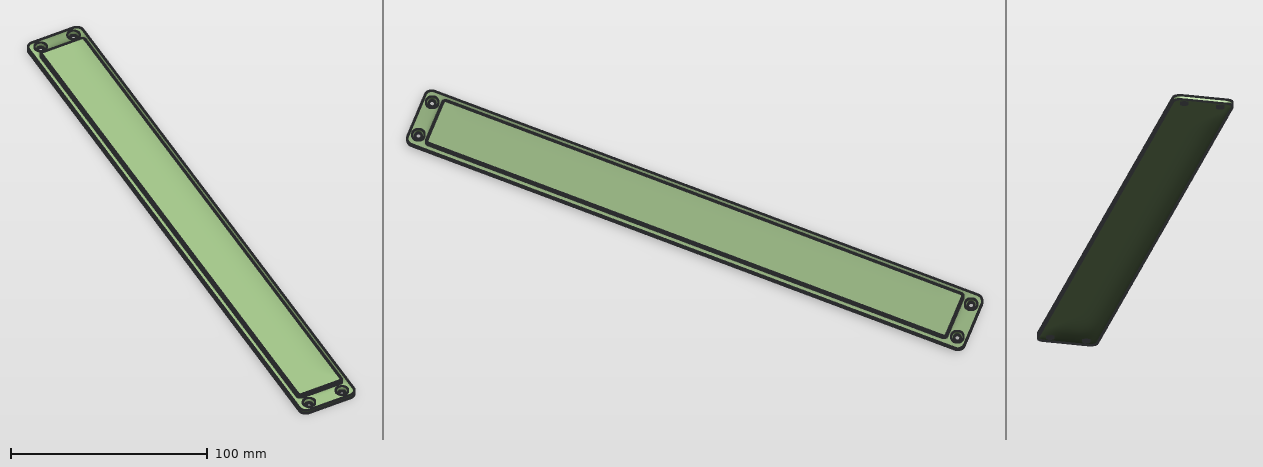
import cadquery as cq

length = 305.0
width = 31.0
total_height = 4.0
plate_thickness = 2.3
corner_radius = 3.7

panel_end_margin = 9.8
panel_side_margin = 2.7
panel_corner_radius = 1.8
panel_edge_chamfer = 0.5
panel_length = length - 2 * panel_end_margin
panel_width = width - 2 * panel_side_margin
panel_height = total_height - plate_thickness

hole_diameter = 3.5
countersink_diameter = 6.5
countersink_angle = 90
hole_end_margin = 5.0
hole_side_margin = 6.0
hole_spacing_x = length - 2 * hole_end_margin
hole_spacing_y = width - 2 * hole_side_margin


def rounded_plate(size_x, size_y, thickness, radius):
    """Flat plate with rounded vertical corners, resting on Z = 0."""
    plate = cq.Workplane("XY").rect(size_x, size_y).extrude(thickness)
    return plate.edges("|Z").fillet(radius)


base = rounded_plate(length, width, plate_thickness, corner_radius)
base = (
    base.faces(">Z")
    .workplane()
    .rect(hole_spacing_x, hole_spacing_y, forConstruction=True)
    .vertices()
    .cskHole(hole_diameter, countersink_diameter, countersink_angle)
)

panel = rounded_plate(panel_length, panel_width, panel_height, panel_corner_radius)
panel = panel.faces(">Z").edges().chamfer(panel_edge_chamfer)

result = base.union(panel.translate((0, 0, plate_thickness)))